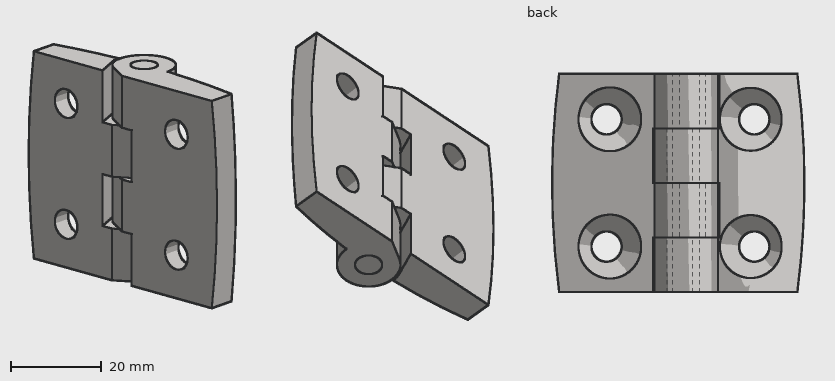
import cadquery as cq
import math

width = 55.5
height = 48.0
depth = 16.0
half_width = width / 2
half_height = height / 2
edge_bulge = 1.55
edge_thickness = 6.25

barrel_radius = 7.0
pin_diameter = 6.0
pin_x = -1.7
pin_y = depth - barrel_radius
knuckle_count = 4
knuckle_height = height / knuckle_count

knuckle_foot = 1.45
recess_foot = 4.2
clearance_radius = 7.3

hole_diameter = 6.6
left_hole_x = -16.7
right_hole_x = 15.75
hole_half_pitch = 14.0

sink_slope = math.radians(45)
sink_start_y = 4.45

LEFT = -1
RIGHT = 1


def tangent_point(radius, foot):
    """Point, relative to the pin axis, where a line from the underside at +foot
    touches the far (-X) side of a circle about the axis."""
    distance = math.hypot(foot, pin_y)
    angle = math.atan2(-pin_y, foot) - math.acos(radius / distance)
    return radius * math.cos(angle), radius * math.sin(angle)


def prism(points, z_start):
    return cq.Workplane("XY").workplane(offset=z_start).polyline(points).close().extrude(knuckle_height)


def cylinder(radius, z_start, length):
    return cq.Workplane("XY", origin=(pin_x, pin_y, z_start)).circle(radius).extrude(length)


def make_slab():
    """Both plates as one slab: bowed outer edges and a crowned back."""
    crowned = (
        cq.Workplane("XY", origin=(0, 0, -half_height))
        .moveTo(-half_width, 0)
        .lineTo(half_width, 0)
        .lineTo(half_width, edge_thickness)
        .threePointArc((0, pin_y), (-half_width, edge_thickness))
        .close()
        .extrude(height)
    )
    corner_x = half_width - edge_bulge
    bowed = (
        cq.Workplane("XZ")
        .moveTo(-corner_x, -half_height)
        .lineTo(corner_x, -half_height)
        .threePointArc((half_width, 0), (corner_x, half_height))
        .lineTo(-corner_x, half_height)
        .threePointArc((-half_width, 0), (-corner_x, -half_height))
        .close()
        .extrude(-depth)
    )
    return crowned.intersect(bowed)


def knuckle_band(slab, side, z_start):
    """Slice of a leaf that carries a knuckle: plate, sloping root and barrel."""
    touch_x, touch_y = tangent_point(barrel_radius, knuckle_foot)
    plate_limit = prism(
        [
            (pin_x, pin_y),
            (pin_x + side * touch_x, pin_y + touch_y),
            (pin_x + side * knuckle_foot, 0),
            (side * width, 0),
            (side * width, pin_y),
        ],
        z_start,
    )
    return slab.intersect(plate_limit).union(cylinder(barrel_radius, z_start, knuckle_height))


def recess_band(slab, side, z_start):
    """Slice of a leaf that leaves room for a knuckle of the other leaf."""
    touch_x, touch_y = tangent_point(clearance_radius, -recess_foot)
    plate_limit = prism(
        [
            (pin_x - side * touch_x, pin_y),
            (pin_x - side * touch_x, pin_y + touch_y),
            (pin_x + side * recess_foot, 0),
            (side * width, 0),
            (side * width, pin_y),
        ],
        z_start,
    )
    clearance = cylinder(clearance_radius, z_start, knuckle_height)
    return slab.intersect(plate_limit).cut(clearance)


def screw_cutter(x, z):
    """Through hole with a countersink that widens towards the crowned back.
    It ends at the crown's highest level, so that it leaves the barrels whole."""
    hole_radius = hole_diameter / 2
    sink_radius = hole_radius + (pin_y - sink_start_y) * math.tan(sink_slope)
    return (
        cq.Workplane("XY", origin=(x, 0, z))
        .lineTo(hole_radius, 0)
        .lineTo(hole_radius, sink_start_y)
        .lineTo(sink_radius, pin_y)
        .lineTo(0, pin_y)
        .close()
        .revolve(360, (0, 0, 0), (0, 1, 0))
    )


def make_leaf(slab, side, hole_x):
    """One leaf; the left leaf owns the bottom knuckle and they alternate upwards."""
    leaf = None
    for index in range(knuckle_count):
        z_start = -half_height + index * knuckle_height
        owner = LEFT if index % 2 == 0 else RIGHT
        make_band = knuckle_band if owner == side else recess_band
        band = make_band(slab, side, z_start)
        leaf = band if leaf is None else leaf.union(band)

    pin_bore = cylinder(pin_diameter / 2, -half_height, height)
    leaf = leaf.cut(pin_bore)
    for hole_z in (-hole_half_pitch, hole_half_pitch):
        leaf = leaf.cut(screw_cutter(hole_x, hole_z))
    return leaf


def make_pin():
    return cylinder(pin_diameter / 2, -half_height, height)


plate_slab = make_slab()
left_leaf = make_leaf(plate_slab, LEFT, left_hole_x)
right_leaf = make_leaf(plate_slab, RIGHT, right_hole_x)
pin = make_pin()

result = cq.Compound.makeCompound([left_leaf.val(), right_leaf.val(), pin.val()])